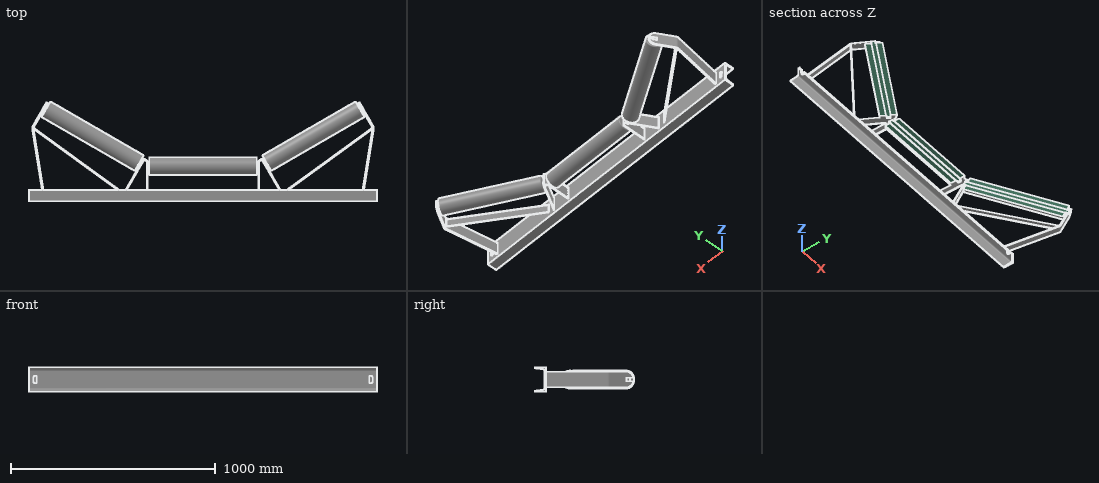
import cadquery as cq
import math

BEAM_LENGTH = 1700
BEAM_HEIGHT = 120.0
BEAM_DEPTH = 56.0
WEB_THICKNESS = 8.0
FLANGE_TIP_THICKNESS = 6.0
FLANGE_ROOT_THICKNESS = 11.0
ROOT_RADIUS = 8.0
TIP_RADIUS = 3.0
BOLT_SLOT_WIDTH = 17.0
BOLT_SLOT_HEIGHT = 37.0
BOLT_SLOT_INSET = 30.0

ROLLER_DIAMETER = 88.0
ROLLER_LENGTH = 527
ROLLER_EDGE_RADIUS = 5.0
TROUGH_ANGLE = 30
CENTRE_ROLLER_Y = 172.0
SIDE_ROLLER_X = 539.0
SIDE_ROLLER_Y = 318.0

ROLLER_GAP = 7.0
PLATE_WIDTH = 76.0
ARM_THICKNESS = 7.6
ARM_TOP = 32.0
ARM_BEND = 110.0
ARM_BEND_RADIUS = 20.0
ARM_FOOT_X = 782
BRACKET_THICKNESS = 5.0
BRACKET_SLOPE_TOP = 29.0
BRACKET_UPRIGHT_TOP = 24.0
BRACKET_BEND_RADIUS = 7.0
BRACE_THICKNESS = 5.0
BRACE_WIDTH = 51
BRACE_FOOT_X = 408

SHAFT_DIAMETER = 20.0
SHAFT_FLATS = 15.0

FOOT_Y = BEAM_DEPTH - WEB_THICKNESS / 2
PLATE_FACE = ROLLER_LENGTH / 2 + ROLLER_GAP
ARM_OFFSET = PLATE_FACE + ARM_THICKNESS / 2
BRACKET_OFFSET = PLATE_FACE + BRACKET_THICKNESS / 2
SIDE_SHAFT_ENDS = (-PLATE_FACE - ARM_THICKNESS, PLATE_FACE + BRACKET_THICKNESS)
CENTRE_SHAFT_ENDS = (-PLATE_FACE - BRACKET_THICKNESS, PLATE_FACE + BRACKET_THICKNESS)

LEFT_STATION = (-SIDE_ROLLER_X, SIDE_ROLLER_Y, -TROUGH_ANGLE)
CENTRE_STATION = (0, CENTRE_ROLLER_Y, 0)
RIGHT_STATION = (SIDE_ROLLER_X, SIDE_ROLLER_Y, TROUGH_ANGLE)


def place(body, station):
    """Move a body made along the X axis, centred on the origin, to a roller station."""
    x, y, angle = station
    return body.rotate((0, 0, 0), (0, 0, 1), angle).translate((x, y, 0))


def station_point(station, along, up):
    """XY point at a distance along a roller axis from its middle, and square to it."""
    x, y, angle = station
    cos = math.cos(math.radians(angle))
    sin = math.sin(math.radians(angle))
    return (x + along * cos - up * sin, y + along * sin + up * cos)


def mirrored(body):
    return body.mirror("YZ")


def make_beam():
    top = BEAM_HEIGHT / 2
    tip_z = top - FLANGE_TIP_THICKNESS
    root_y = BEAM_DEPTH - WEB_THICKNESS
    root_z = top - FLANGE_ROOT_THICKNESS
    beam = (
        cq.Workplane("YZ", origin=(-BEAM_LENGTH / 2, 0, 0))
        .polyline([
            (0, top), (BEAM_DEPTH, top), (BEAM_DEPTH, -top), (0, -top),
            (0, -tip_z), (root_y, -root_z), (root_y, root_z), (0, tip_z),
        ])
        .close()
        .extrude(BEAM_LENGTH)
    )
    for y, z, radius in ((root_y, root_z, ROOT_RADIUS), (0, tip_z, TIP_RADIUS)):
        for side in (-1, 1):
            corner = cq.selectors.NearestToPointSelector((0, y, side * z))
            beam = beam.edges(corner).fillet(radius)
    slot_x = BEAM_LENGTH / 2 - BOLT_SLOT_INSET
    bolt_slots = (
        cq.Workplane("XZ")
        .pushPoints([(-slot_x, 0), (slot_x, 0)])
        .slot2D(BOLT_SLOT_HEIGHT, BOLT_SLOT_WIDTH, 90)
        .extrude(-BEAM_DEPTH)
    )
    return beam.cut(bolt_slots)


def bent_plate(path, thickness, width, bend_radius=0):
    """Plate on edge whose middle line follows the XY points of path, with rounded bends."""
    headings = [math.atan2(b[1] - a[1], b[0] - a[0]) for a, b in zip(path, path[1:])]
    starts = [headings[0]] + headings
    ends = headings + [headings[-1]]
    left = []
    right = []
    for (x, y), before, after in zip(path, starts, ends):
        normal = (before + after + math.pi) / 2
        reach = thickness / 2 / math.cos((after - before) / 2)
        left.append((x + reach * math.cos(normal), y + reach * math.sin(normal)))
        right.append((x - reach * math.cos(normal), y - reach * math.sin(normal)))
    plate = (
        cq.Workplane("XY", origin=(0, 0, -width / 2))
        .polyline(left + right[::-1])
        .close()
        .extrude(width)
    )
    for i in range(1, len(path) - 1):
        left_is_inside = headings[i] > headings[i - 1]
        inside, outside = (left[i], right[i]) if left_is_inside else (right[i], left[i])
        for (x, y), radius in ((inside, bend_radius - thickness), (outside, bend_radius)):
            bend = cq.selectors.NearestToPointSelector((x, y, 0))
            plate = plate.edges("|Z").edges(bend).fillet(radius)
    return plate


def make_left_arm():
    """Outer support: a bent plate with a round, notched head."""
    tip_radius = PLATE_WIDTH / 2
    tip_centre = ARM_TOP - tip_radius
    path = [
        station_point(LEFT_STATION, -ARM_OFFSET, tip_centre),
        station_point(LEFT_STATION, -ARM_OFFSET, -ARM_BEND),
        (-ARM_FOOT_X, FOOT_Y),
    ]
    arm = bent_plate(path, ARM_THICKNESS, PLATE_WIDTH, ARM_BEND_RADIUS)
    round_tip = (
        cq.Workplane("YZ", origin=(-PLATE_FACE - ARM_THICKNESS, tip_centre, 0))
        .circle(tip_radius)
        .extrude(ARM_THICKNESS)
    )
    notch_bottom = -SHAFT_DIAMETER / 2
    notch = (
        cq.Workplane("XY")
        .box(2 * ARM_THICKNESS, ARM_TOP - notch_bottom, SHAFT_FLATS)
        .translate((-ARM_OFFSET, (ARM_TOP + notch_bottom) / 2, 0))
    )
    return arm.union(place(round_tip, LEFT_STATION)).cut(place(notch, LEFT_STATION))


def make_left_brace():
    """Straight plate from the bend of the arm down to the beam."""
    path = [station_point(LEFT_STATION, -ARM_OFFSET, -ARM_BEND), (-BRACE_FOOT_X, FOOT_Y)]
    return bent_plate(path, BRACE_THICKNESS, BRACE_WIDTH)


def make_left_bracket():
    """Inner support: one folded plate between the left and the centre roller."""
    slope_height = station_point(LEFT_STATION, BRACKET_OFFSET, 0)[1] - FOOT_Y
    slope_foot = -slope_height / math.cos(math.radians(TROUGH_ANGLE))
    path = [
        station_point(LEFT_STATION, BRACKET_OFFSET, slope_foot),
        station_point(LEFT_STATION, BRACKET_OFFSET, BRACKET_SLOPE_TOP),
        station_point(CENTRE_STATION, -BRACKET_OFFSET, BRACKET_UPRIGHT_TOP),
        (-BRACKET_OFFSET, FOOT_Y),
    ]
    return bent_plate(path, BRACKET_THICKNESS, PLATE_WIDTH, BRACKET_BEND_RADIUS)


def make_roller(station):
    roller = (
        cq.Workplane("YZ", origin=(-ROLLER_LENGTH / 2, 0, 0))
        .circle(ROLLER_DIAMETER / 2)
        .extrude(ROLLER_LENGTH)
        .faces("<X or >X")
        .edges()
        .fillet(ROLLER_EDGE_RADIUS)
    )
    bore = (
        cq.Workplane("YZ", origin=(-ROLLER_LENGTH / 2, 0, 0))
        .circle(SHAFT_DIAMETER / 2)
        .extrude(ROLLER_LENGTH)
    )
    return place(roller.cut(bore), station)


def make_shaft(start, end):
    """Shaft along X whose flats run from each end to the facing side of the plate."""
    shaft = cq.Workplane("YZ", origin=(start, 0, 0)).circle(SHAFT_DIAMETER / 2).extrude(end - start)
    round_part = cq.Workplane("XY").box(2 * PLATE_FACE, SHAFT_DIAMETER, SHAFT_DIAMETER)
    flat_part = (
        cq.Workplane("XY", origin=((start + end) / 2, 0, 0))
        .box(end - start, SHAFT_DIAMETER, SHAFT_FLATS)
    )
    return shaft.intersect(round_part.union(flat_part))


def make_frame(shafts):
    """Beam with its welded supports, cut to receive the shaft ends."""
    frame = make_beam()
    for support in (make_left_arm(), make_left_brace(), make_left_bracket()):
        frame = frame.union(support).union(mirrored(support))
    for shaft in shafts:
        frame = frame.cut(shaft)
    return frame


rollers = [make_roller(station) for station in (LEFT_STATION, CENTRE_STATION, RIGHT_STATION)]
left_shaft = place(make_shaft(*SIDE_SHAFT_ENDS), LEFT_STATION)
centre_shaft = place(make_shaft(*CENTRE_SHAFT_ENDS), CENTRE_STATION)
shafts = [left_shaft, centre_shaft, mirrored(left_shaft)]
frame = make_frame(shafts)

result = cq.Compound.makeCompound([
    frame.val(),
    *[roller.val() for roller in rollers],
    *[shaft.val() for shaft in shafts],
])